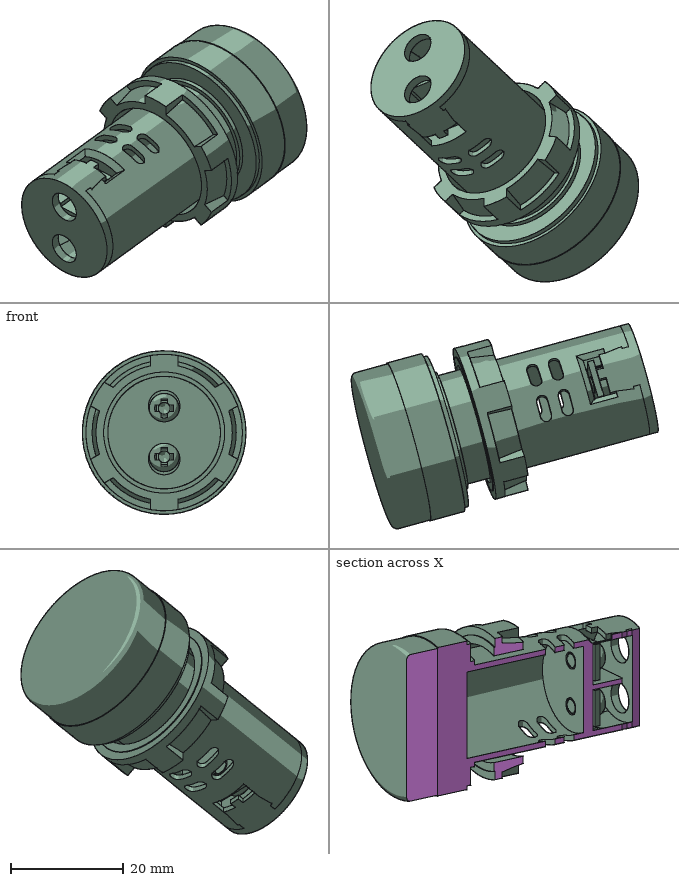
import cadquery as cq
import math


cap_disc_top = 1.6
nut_bottom = 25.0
nut_flange_bottom = 29.5
nut_flange_top = 31.2
nut_rim_top = 31.4
collar_bottom = 35.5
flange_bottom = 36.3
head_bottom = 37.15
head_top = 43.45
lens_top = 50.2

lens_radius = 14.45
lens_fillet = 0.95

head_radius = 14.6
flange_radius = 13.95
collar_radius = 10.8
barrel_radius = 10.05
wall = 1.0
bore_radius = barrel_radius - wall
partition_bottom = 3.7
partition_thickness = 1.0
shelf_thickness = 2.6
shelf_inner_x = 3.95
floor_top = 12.15

slot_length = 4.5
slot_width = 2.0
slot_offset_x = 3.2
slot_rows = (15.2, 19.25)

window_half_width = 3.65
window_top = 10.05
flare_half_width = 4.65
flare_bottom = 5.95
flare_top = window_top + wall

barb_half_width = 4.05
barb_bottom = 2.8
tongue_top = 7.1
prong_half_width = 0.9
prong_top = 8.35

nut_radius = 13.95
nut_bore_radius = 10.8
nut_rim_radius = 12.4
notch_count = 6
tab_width = 4.85
notch_floor_bottom_radius = 12.15
notch_floor_top_radius = 12.85

terminal_z = 4.3
access_hole_z = 4.7
access_hole_radius = 2.8
plate_size = 6.85
plate_bottom = 8.2
plate_top = 9.3
screw_head_radius = 2.65
screw_crown_radius = 1.6
screw_head_bottom = 5.9
screw_dome_start = 7.4
thread_crest_radius = 1.55
thread_root_radius = 1.25
thread_pitch = 0.7
thread_turns = 4
recess_half_width = 0.6
recess_reach = 1.7
recess_floor_reach = 1.35
recess_depth = 0.3
recess_cone_radius = 1.05

sides = (1, -1)
margin = 2.5


def revolve_about_axis(points):
    """Revolve a closed (radius, Y) outline about the Y axis."""
    return cq.Workplane("XY").polyline(points).close().revolve(360, (0, 0, 0), (0, 1, 0))


def disc(radius, bottom, top, z=0.0):
    """Cylinder along Y between two positions, centred at height z."""
    solid = cq.Solid.makeCylinder(radius, top - bottom, cq.Vector(0, bottom, z), cq.Vector(0, 1, 0))
    return cq.Workplane(solid)


def block(width, bottom, top, height, z=0.0):
    """Box centred on X = 0 and on height z, between two positions along Y."""
    box = cq.Workplane("XY").box(width, top - bottom, height)
    return box.translate((0, (bottom + top) / 2, z))


def side_prism(points, side):
    """Extrude an (X, Y) outline from the axis outwards past the barrel, up (1) or down (-1)."""
    return cq.Workplane("XY").polyline(points).close().extrude(side * (barrel_radius + margin))


def mirrored_outline(right_half):
    """Complete an outline that is symmetric about X = 0 from its right half."""
    return right_half + [(-x, y) for x, y in reversed(right_half)]


def barb_outline():
    """Snap barb, widest at its lower end, shared by the tongue and its slot."""
    return mirrored_outline([(barb_half_width, barb_bottom), (window_half_width, flare_bottom)])


def make_lens():
    return disc(lens_radius, head_top, lens_top).faces(">Y").edges().fillet(lens_fillet)


def make_window(side):
    window = side_prism(
        mirrored_outline([(window_half_width, cap_disc_top), (window_half_width, window_top)]), side
    )
    return window.union(side_prism(barb_outline(), side))


def make_window_flare():
    """Sloping edge of the upper window: a conical end and two slanted flanks."""
    reach = barrel_radius + margin
    cone = revolve_about_axis([
        (0, flare_bottom),
        (reach, flare_bottom),
        (reach, window_top + reach - bore_radius),
        (0, window_top - bore_radius),
    ])
    outer_z = math.sqrt(barrel_radius**2 - flare_half_width**2)
    inner_z = math.sqrt(bore_radius**2 - window_half_width**2)
    slope = (outer_z - inner_z) / (flare_half_width - window_half_width)
    middle_z = inner_z - slope * window_half_width
    section = [(0, middle_z), (reach, middle_z + slope * reach), (-reach, middle_z + slope * reach)]
    flanks = (
        cq.Workplane("XZ", origin=(0, flare_bottom, 0)).polyline(section).close()
        .extrude(flare_bottom - flare_top)
    )
    return flanks.intersect(cone)


def make_terminal_block():
    """Floor across the bore for the screws, and a partition with thicker shelves between them."""
    floor = disc(barrel_radius - wall / 2, window_top, floor_top)
    for side in sides:
        floor = floor.cut(disc(thread_crest_radius, window_top, floor_top, side * terminal_z))
    shelves = block(2 * barrel_radius, partition_bottom, floor_top, shelf_thickness).cut(
        block(2 * shelf_inner_x, partition_bottom, window_top, shelf_thickness)
    )
    partition = block(2 * barrel_radius, partition_bottom, floor_top, partition_thickness)
    envelope = disc(barrel_radius - wall / 2, partition_bottom, floor_top)
    return partition.union(shelves).intersect(envelope).union(floor)


def make_housing():
    shell = revolve_about_axis([
        (0, head_bottom),
        (bore_radius, head_bottom),
        (bore_radius, cap_disc_top),
        (barrel_radius, cap_disc_top),
        (barrel_radius, collar_bottom),
        (collar_radius, collar_bottom),
        (collar_radius, flange_bottom),
        (flange_radius, flange_bottom),
        (flange_radius, head_bottom),
        (head_radius, head_bottom),
        (head_radius, head_top),
        (0, head_top),
    ])
    slot_centres = [(side * slot_offset_x, y) for side in sides for y in slot_rows]
    slots = (
        cq.Workplane("XY").pushPoints(slot_centres)
        .slot2D(slot_length, slot_width).extrude(barrel_radius + margin, both=True)
    )
    shell = shell.cut(slots)
    for side in sides:
        shell = shell.cut(make_window(side))
    return shell.union(make_terminal_block()).cut(make_window_flare())


def make_tongue(side):
    """Snap tongue with barbs and a central prong, cut from the barrel wall's ring."""
    outline = mirrored_outline([
        (window_half_width, 0),
        (window_half_width, tongue_top),
        (prong_half_width, tongue_top),
        (prong_half_width, prong_top),
    ])
    ring = disc(barrel_radius, 0, prong_top).cut(disc(bore_radius, 0, prong_top))
    return side_prism(outline, side).union(side_prism(barb_outline(), side)).intersect(ring)


def make_end_cap():
    cap = disc(barrel_radius, 0, cap_disc_top)
    for side in sides:
        cap = cap.union(make_tongue(side))
        cap = cap.cut(disc(access_hole_radius, 0, cap_disc_top, side * access_hole_z))
    return cap


def make_nut():
    nut = revolve_about_axis([
        (nut_bore_radius, nut_bottom),
        (nut_radius, nut_bottom),
        (nut_radius, nut_flange_top),
        (nut_rim_radius, nut_flange_top),
        (nut_rim_radius, nut_rim_top),
        (nut_bore_radius, nut_rim_top),
    ])
    notches = revolve_about_axis([
        (notch_floor_bottom_radius, nut_bottom),
        (nut_radius + margin, nut_bottom),
        (nut_radius + margin, nut_flange_bottom),
        (notch_floor_top_radius, nut_flange_bottom),
    ])
    pitch_angle = 360 / notch_count
    tab_reach = nut_radius + 2 * margin
    for i in range(notch_count):
        tab = block(tab_width, nut_bottom, nut_flange_bottom, tab_reach, tab_reach / 2)
        notches = notches.cut(tab.rotate((0, 0, 0), (0, 1, 0), i * pitch_angle))
    return nut.cut(notches)


def make_cross_recess():
    """Cross recess with sloping arm ends and a conical centre."""
    floor = screw_head_bottom + recess_depth
    arm_outline = mirrored_outline([(recess_reach, screw_head_bottom), (recess_floor_reach, floor)])
    arm = cq.Workplane("XY").polyline(arm_outline).close().extrude(recess_half_width, both=True)
    cone = revolve_about_axis([
        (0, screw_head_bottom),
        (recess_cone_radius, screw_head_bottom),
        (recess_cone_radius, floor),
        (0, floor + recess_cone_radius / 2),
    ])
    return arm.union(arm.rotate((0, 0, 0), (0, 1, 0), 90)).union(cone)


def make_screw(side):
    dome_middle = (
        screw_crown_radius + (screw_head_radius - screw_crown_radius) * math.sin(math.pi / 4),
        screw_dome_start - (screw_dome_start - screw_head_bottom) * math.cos(math.pi / 4),
    )
    outline = (
        cq.Workplane("XY").moveTo(0, screw_head_bottom)
        .lineTo(screw_crown_radius, screw_head_bottom)
        .threePointArc(dome_middle, (screw_head_radius, screw_dome_start))
        .lineTo(screw_head_radius, plate_bottom)
        .lineTo(thread_crest_radius, plate_bottom)
        .lineTo(thread_crest_radius, plate_top)
        .lineTo(thread_root_radius, plate_top)
    )
    for i in range(thread_turns):
        start = plate_top + i * thread_pitch
        outline = outline.lineTo(thread_crest_radius, start + thread_pitch / 2)
        outline = outline.lineTo(thread_root_radius, start + thread_pitch)
    screw_end = plate_top + thread_turns * thread_pitch
    screw = outline.lineTo(0, screw_end).close().revolve(360, (0, 0, 0), (0, 1, 0))
    return screw.cut(make_cross_recess()).translate((0, 0, side * terminal_z))


def make_clamp_plate(side):
    z = side * terminal_z
    plate = block(plate_size, plate_bottom, plate_top, plate_size, z)
    return plate.cut(disc(thread_crest_radius, plate_bottom, plate_top, z))


lens = make_lens()
housing = make_housing()
end_cap = make_end_cap()
nut = make_nut()
screws = [make_screw(side).val() for side in sides]
clamp_plates = [make_clamp_plate(side).val() for side in sides]

result = cq.Compound.makeCompound(
    [lens.val(), housing.val(), end_cap.val(), nut.val(), *screws, *clamp_plates]
)